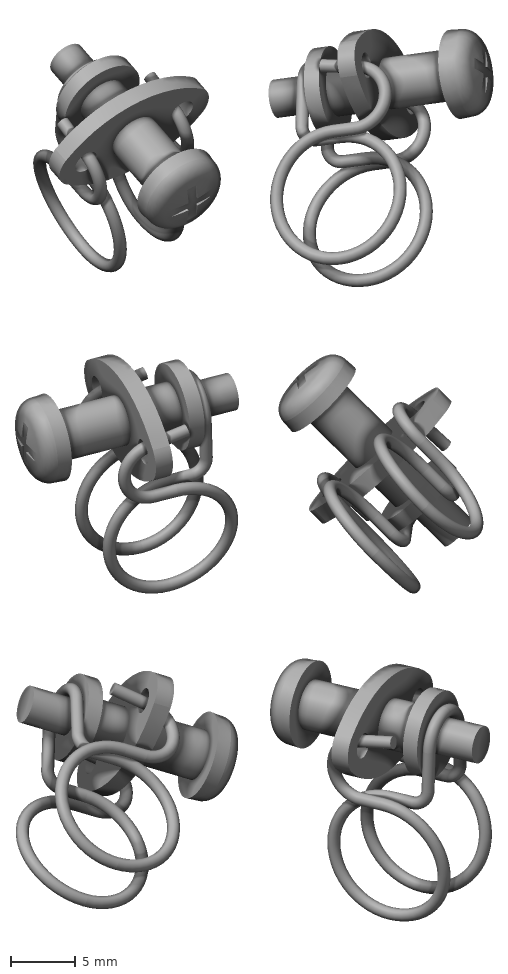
import cadquery as cq
import math


TIP_RADIUS = 1.5
SHAFT_RADIUS = 2.02
COLLAR_RADIUS = 3.49
COLLAR_START = 3.76
COLLAR_THICKNESS = 1.25
HEAD_START = 14.99
HEAD_BASE_RADIUS = COLLAR_RADIUS
HEAD_RIM_X = 16.13
HEAD_RIM_RADIUS = 3.41
HEAD_ROUNDING = 1.35
DOME_START = 17.24
DOME_RADIUS = 2.33
DOME_APEX = 17.57
CROSS_WIDTH = 0.85
CROSS_FLOOR = 17.35

PLATE_START = 7.97
PLATE_THICKNESS = 1.43
PLATE_HALF_LENGTH = 7.0
PLATE_HALF_HEIGHT = 4.0
PLATE_END_RADIUS = 2.05
JOIN_ANGLE = math.radians(45)
WIRE_HOLE_RADIUS = 1.0
WIRE_HOLE_OFFSET = 4.5

WIRE_RADIUS = 0.5
ARCH_RADIUS = 2.42
ARCH_CLEARANCE = 0.02
BEND_RADIUS = 1.32
RING_RADIUS = 5.0
RING_BOTTOM = -15.4
RING_X = 6.5
INNER_STRAND_Y = 2.71
OUTER_STRAND_Y = 4.07
HOOK_RADIUS = 2.5
HOOK_X = 8.3
HOOK_ANGLE = math.radians(10)
HOOK_END_X = 5.53


def make_pin():
    """Turned profile revolved about X, with a shallow cross recess in the head."""
    collar_end = COLLAR_START + COLLAR_THICKNESS
    dome_rise = DOME_APEX - DOME_START
    dome_curvature_radius = (DOME_RADIUS**2 + dome_rise**2) / (2 * dome_rise)
    body = (
        cq.Workplane("XY")
        .lineTo(0, TIP_RADIUS)
        .lineTo(COLLAR_START, TIP_RADIUS)
        .lineTo(COLLAR_START, COLLAR_RADIUS)
        .lineTo(collar_end, COLLAR_RADIUS)
        .lineTo(collar_end, SHAFT_RADIUS)
        .lineTo(HEAD_START, SHAFT_RADIUS)
        .lineTo(HEAD_START, HEAD_BASE_RADIUS)
        .lineTo(HEAD_RIM_X, HEAD_RIM_RADIUS)
        .radiusArc((DOME_START, DOME_RADIUS), HEAD_ROUNDING)
        .radiusArc((DOME_APEX, 0), dome_curvature_radius)
        .close()
        .revolve(360, (0, 0, 0), (1, 0, 0))
    )
    slot_length = 2 * HEAD_BASE_RADIUS
    floor = cq.Workplane("YZ", origin=(CROSS_FLOOR, 0, 0))
    for length_y, length_z in ((slot_length, CROSS_WIDTH), (CROSS_WIDTH, slot_length)):
        body = body.cut(floor.rect(length_y, length_z).extrude(DOME_APEX))
    return body


def make_plate():
    """Pointed oval with a hole for the shaft and one hole for each wire end."""
    end_center = PLATE_HALF_LENGTH - PLATE_END_RADIUS
    join_y = end_center + PLATE_END_RADIUS * math.cos(JOIN_ANGLE)
    join_z = PLATE_END_RADIUS * math.sin(JOIN_ANGLE)
    return (
        cq.Workplane("YZ", origin=(PLATE_START, 0, 0))
        .moveTo(join_y, join_z)
        .threePointArc((0, PLATE_HALF_HEIGHT), (-join_y, join_z))
        .threePointArc((-PLATE_HALF_LENGTH, 0), (-join_y, -join_z))
        .threePointArc((0, -PLATE_HALF_HEIGHT), (join_y, -join_z))
        .threePointArc((PLATE_HALF_LENGTH, 0), (join_y, join_z))
        .close()
        .extrude(PLATE_THICKNESS)
        .faces("<X").workplane(origin=(PLATE_START, 0, 0))
        .circle(SHAFT_RADIUS)
        .pushPoints([(-WIRE_HOLE_OFFSET, 0), (WIRE_HOLE_OFFSET, 0)])
        .circle(WIRE_HOLE_RADIUS)
        .cutThruAll()
    )


def half_clip_path():
    """Wire centreline on the +Y side, from the top of the arch to the free end."""
    arch_x = COLLAR_START - WIRE_RADIUS
    arch_top = TIP_RADIUS + ARCH_CLEARANCE + WIRE_RADIUS
    arch_z = arch_top - ARCH_RADIUS
    ring_low = RING_BOTTOM + WIRE_RADIUS
    ring_z = ring_low + RING_RADIUS
    strand_z = ring_z + RING_RADIUS

    drop = arch_z - strand_z
    reach = math.hypot(INNER_STRAND_Y, drop)
    slant = math.atan2(INNER_STRAND_Y, drop) - math.asin(ARCH_RADIUS / reach)

    def arch_point(angle):
        return cq.Vector(arch_x, ARCH_RADIUS * math.cos(angle), arch_z + ARCH_RADIUS * math.sin(angle))

    def bend_point(angle):
        """Point on the bend, which lies in the slanted plane of the leg."""
        x = arch_x + BEND_RADIUS * (1 - math.cos(angle))
        height = BEND_RADIUS * (1 - math.sin(angle))
        y = INNER_STRAND_Y - height * math.sin(slant)
        return cq.Vector(x, y, strand_z + height * math.cos(slant))

    def hook_point(angle):
        x = HOOK_X + HOOK_RADIUS * math.cos(angle)
        z = strand_z + HOOK_RADIUS + HOOK_RADIUS * math.sin(angle)
        return cq.Vector(x, OUTER_STRAND_Y, z)

    shift = OUTER_STRAND_Y - INNER_STRAND_Y
    rise_radius = math.hypot(2 * RING_RADIUS, shift) / 2
    ring_start = cq.Vector(RING_X, INNER_STRAND_Y, strand_z)
    ring_right = cq.Vector(RING_X + RING_RADIUS, INNER_STRAND_Y, ring_z)
    ring_bottom = cq.Vector(RING_X, INNER_STRAND_Y, ring_low)
    ring_left = cq.Vector(RING_X - rise_radius, INNER_STRAND_Y + shift / 2, ring_z)
    ring_end = cq.Vector(RING_X, OUTER_STRAND_Y, strand_z)

    hook_start_angle = -math.pi / 2
    hook_end_angle = math.pi / 2 - HOOK_ANGLE
    hook_start = hook_point(hook_start_angle)
    hook_end = hook_point(hook_end_angle)
    tip_rise = (hook_end.x - HOOK_END_X) * math.tan(HOOK_ANGLE)
    tip = cq.Vector(HOOK_END_X, OUTER_STRAND_Y, hook_end.z + tip_rise)

    leg_top = arch_point(slant)
    leg_bottom = bend_point(0)
    bend_end = bend_point(math.pi / 2)
    arch_middle = arch_point((math.pi / 2 + slant) / 2)
    hook_middle = hook_point((hook_start_angle + hook_end_angle) / 2)
    return [
        cq.Edge.makeThreePointArc(arch_point(math.pi / 2), arch_middle, leg_top),
        cq.Edge.makeLine(leg_top, leg_bottom),
        cq.Edge.makeThreePointArc(leg_bottom, bend_point(math.pi / 4), bend_end),
        cq.Edge.makeLine(bend_end, ring_start),
        cq.Edge.makeThreePointArc(ring_start, ring_right, ring_bottom),
        cq.Edge.makeThreePointArc(ring_bottom, ring_left, ring_end),
        cq.Edge.makeLine(ring_end, hook_start),
        cq.Edge.makeThreePointArc(hook_start, hook_middle, hook_end),
        cq.Edge.makeLine(hook_end, tip),
    ]


def make_clip():
    """Round wire swept along the half path, joined to its mirror image."""
    edges = half_clip_path()
    section = cq.Workplane(cq.Plane(edges[0].startPoint(), (1, 0, 0), (0, 1, 0))).circle(WIRE_RADIUS)
    half = section.sweep(cq.Workplane(cq.Wire.assembleEdges(edges)))
    return half.union(half.mirror("XZ"))


pin = make_pin()
plate = make_plate()
clip = make_clip()

result = cq.Compound.makeCompound([body.solids().val() for body in (pin, plate, clip)])